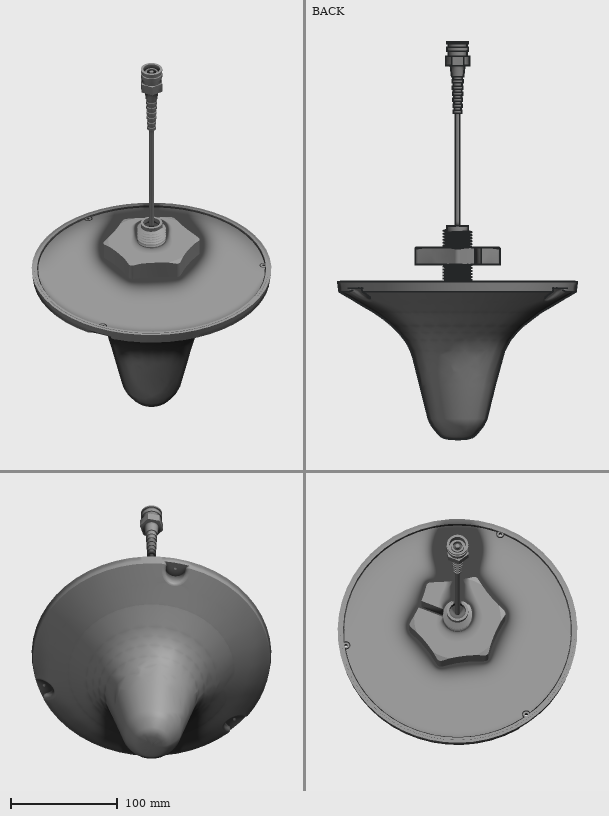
import cadquery as cq
import math


total_height = 373.0
rim_top = 148.5
plate_drop = 1.5
plate_thickness = 3.0
plate_top = rim_top - plate_drop
plate_bottom = plate_top - plate_thickness
rim_bottom = 138.8
stem_top = 200.3
nut_bottom = 164.0
nut_height = 16.0

rim_radius = 225.0 / 2
rim_foot_radius = 111.0
rim_step_width = 2.5
rim_step_depth = 0.5
plate_gap = 1.0
plate_radius = 106.3
recess_radius = plate_radius + plate_gap
cone_end = (78.0, 119.0)
apex = (0, 0)
dome_curve = [(59.5, 104.8), (46.3, 88.0), (38.8, 65.3), (30.5, 31.7), (25.5, 15.0), (18.3, 5.5), apex]

screw_circle = 105.5
screw_angles = [30, 150, 270]
screw_hole_radius = 1.5
boss_radius = 3.0
boss_notch_radius = boss_radius + plate_gap
pocket_radius = 9.5
pocket_ceiling = 142.0
pocket_edge_fillet = 3.7

thread_major = 13.5
thread_core = 10.0
thread_pitch = 2.8
thread_turns = 17
thread_root_width = 2.5
thread_embed = 0.5
stem_bore_radius = 8.0
stem_bore_depth = 5.2

nut_sides = 6
nut_first_corner = 30
nut_corner_radius = 46.5
nut_waist = 38.0
nut_corner_fillet = 4.0
nut_bore_clearance = 0.07
nut_slot_width = 7.0
nut_slot_angle = 120
nut_chamfer_radius = 40.5
nut_chamfer_height = 1.5

cable_radius = 2.2
boot_bottom = 306.0
boot_top = 340.0
boot_core_bottom_radius = 3.17
boot_core_top_radius = 4.5
rib_count = 6
rib_pitch = (boot_top - boot_bottom) / rib_count
rib_height = 2.8
rib_overhang = 0.95
sleeve_bottom_radius = 5.5
sleeve_top_radius = 6.7
hex_bottom = 350.5
hex_top = 359.5
hex_corner_radius = 11.2
barrel_radius = 9.0
flange_radius = 10.0
ring_bottom = 364.5
ring_height = 3.7
top_flange_height = 2.0
socket_radius = 8.0
socket_depth = 7.5
tube_radius = 6.0
tube_bore_radius = 4.5
pin_radius = 2.0
tube_drop = 3.0


def cylinder(radius, bottom, top):
    return cq.Workplane("XY").workplane(offset=bottom).circle(radius).extrude(top - bottom)


def cone(bottom_radius, top_radius, bottom, top):
    return (
        cq.Workplane("XZ")
        .moveTo(0, bottom)
        .lineTo(bottom_radius, bottom)
        .lineTo(top_radius, top)
        .lineTo(0, top)
        .close()
        .revolve(360, (0, 0, 0), (0, 1, 0))
    )


def at_screws(shape):
    """Copies of a shape modelled on the +X axis, turned to every screw point."""
    return [shape.rotate((0, 0, 0), (0, 0, 1), angle) for angle in screw_angles]


def make_dome():
    slope = (cone_end[0] - rim_foot_radius, cone_end[1] - rim_bottom)
    dome = (
        cq.Workplane("XZ")
        .moveTo(0, rim_top)
        .lineTo(rim_radius - rim_step_width, rim_top)
        .lineTo(rim_radius - rim_step_width, rim_top - rim_step_depth)
        .lineTo(rim_radius, rim_top - rim_step_depth)
        .lineTo(rim_foot_radius, rim_bottom)
        .lineTo(*cone_end)
        .spline(dome_curve, tangents=[slope, (-1, 0)], includeCurrent=True)
        .close()
        .revolve(360, (0, 0, 0), (0, 1, 0))
    )

    pocket = cylinder(pocket_radius, 0, pocket_ceiling).translate((screw_circle, 0, 0))
    pocket = pocket.union(
        cq.Workplane("XY")
        .box(rim_radius, 2 * pocket_radius, pocket_ceiling, centered=(False, True, False))
        .translate((screw_circle, 0, 0))
    )
    for cutter in at_screws(pocket):
        dome = dome.cut(cutter)

    rim_zone = cq.selectors.BoxSelector(
        (-rim_radius, -rim_radius, cone_end[1]), (rim_radius, rim_radius, rim_top)
    )
    return dome.edges("%HYPERBOLA or %BSPLINE").edges(rim_zone).fillet(pocket_edge_fillet)


def add_recess(dome):
    recess = cylinder(recess_radius, plate_bottom, rim_top)
    boss = cylinder(boss_radius, plate_bottom, plate_top).translate((screw_circle, 0, 0))
    hole = cylinder(screw_hole_radius, 0, rim_top).translate((screw_circle, 0, 0))
    dome = dome.cut(recess)
    for turned_boss in at_screws(boss):
        dome = dome.union(turned_boss)
    for turned_hole in at_screws(hole):
        dome = dome.cut(turned_hole)
    return dome


def make_thread():
    start = plate_top + thread_root_width / 2
    path = cq.Wire.makeHelix(thread_pitch, thread_pitch * thread_turns, thread_core)
    inner = thread_core - thread_embed
    return (
        cq.Workplane("XZ")
        .polyline([
            (inner, -thread_root_width / 2),
            (thread_major, 0),
            (inner, thread_root_width / 2),
        ])
        .close()
        .sweep(cq.Workplane(obj=path), isFrenet=True)
        .translate((0, 0, start))
    )


def make_base():
    base = cylinder(plate_radius, plate_bottom, plate_top)
    notch = cylinder(boss_notch_radius, plate_bottom, plate_top).translate((screw_circle, 0, 0))
    for turned_notch in at_screws(notch):
        base = base.cut(turned_notch)
    base = base.union(cylinder(thread_core, plate_top, stem_top)).union(make_thread())
    return base.cut(cylinder(stem_bore_radius, stem_top - stem_bore_depth, stem_top))


def polar(radius, degrees):
    return (radius * math.cos(math.radians(degrees)), radius * math.sin(math.radians(degrees)))


def make_nut():
    side_angle = 360 / nut_sides
    start = polar(nut_corner_radius, nut_first_corner)
    outline = cq.Workplane("XY").workplane(offset=nut_bottom).moveTo(*start)
    for side in range(nut_sides):
        angle = nut_first_corner + side * side_angle
        waist = polar(nut_waist, angle + side_angle / 2)
        corner = polar(nut_corner_radius, angle + side_angle)
        outline = outline.threePointArc(waist, corner)
    nut = outline.close().extrude(nut_height).edges("|Z").fillet(nut_corner_fillet)

    nut_top = nut_bottom + nut_height
    envelope = (
        cq.Workplane("XZ")
        .moveTo(0, nut_bottom)
        .lineTo(nut_corner_radius, nut_bottom)
        .lineTo(nut_corner_radius, nut_top - nut_chamfer_height)
        .lineTo(nut_chamfer_radius, nut_top)
        .lineTo(0, nut_top)
        .close()
        .revolve(360, (0, 0, 0), (0, 1, 0))
    )
    slot = (
        cq.Workplane("XY")
        .box(nut_corner_radius, nut_slot_width, nut_height, centered=(False, True, False))
        .rotate((0, 0, 0), (0, 0, 1), nut_slot_angle)
        .translate((0, 0, nut_bottom))
    )
    bore = cylinder(thread_major + nut_bore_clearance, nut_bottom, nut_top)
    return nut.intersect(envelope).cut(bore).cut(slot)


def make_boot():
    """Ribbed strain relief that narrows toward the cable."""
    length = boot_top - boot_bottom
    narrowing = (boot_core_top_radius - boot_core_bottom_radius) / length
    boot = cone(boot_core_bottom_radius, boot_core_top_radius, boot_bottom, boot_top)
    for index in range(rib_count):
        rise = index * rib_pitch
        rib_radius = boot_core_bottom_radius + narrowing * rise + rib_overhang
        rib_bottom = boot_bottom + rise
        boot = boot.union(cylinder(rib_radius, rib_bottom, rib_bottom + rib_height))
    return boot


def make_connector():
    hexagon = (
        cq.Workplane("XY")
        .workplane(offset=hex_bottom)
        .polygon(6, 2 * hex_corner_radius)
        .extrude(hex_top - hex_bottom)
    )
    connector = (
        cone(sleeve_bottom_radius, sleeve_top_radius, boot_top, hex_bottom)
        .union(hexagon)
        .union(cylinder(barrel_radius, hex_top, total_height))
        .union(cylinder(flange_radius, ring_bottom, ring_bottom + ring_height))
        .union(cylinder(flange_radius, total_height - top_flange_height, total_height))
    )

    floor = total_height - socket_depth
    tube_top = total_height - tube_drop
    return (
        connector
        .cut(cylinder(socket_radius, floor, total_height))
        .union(cylinder(tube_radius, floor, tube_top))
        .cut(cylinder(tube_bore_radius, floor, tube_top))
        .union(cylinder(pin_radius, floor, tube_top))
    )


def make_cable():
    cable = cylinder(cable_radius, stem_top - stem_bore_depth, boot_bottom)
    return cable.union(make_boot()).union(make_connector())


dome = add_recess(make_dome())
base = make_base()
nut = make_nut()
cable = make_cable()

bodies = [dome, base, nut, cable]
result = cq.Compound.makeCompound([body.solids().val() for body in bodies])